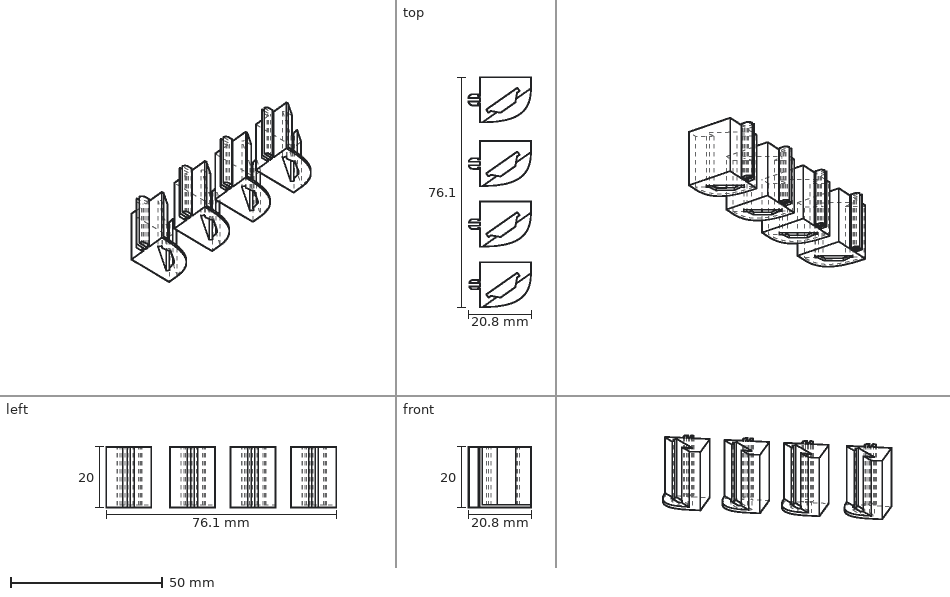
import cadquery as cq
import math

block_width = 16.9
block_depth = 15.0
block_height = 20.0
plate_thickness = 1.0

slant_angle = 35.0
slant_start_x = 0.75
slant_rise = (block_width - slant_start_x) * math.tan(math.radians(slant_angle))

front_handle = 12.3
side_handle = 7.3

pocket_x = 7.2
pocket_y = 7.8
slot_half_length = 6.2
slot_depth = 1.2
opening_half_length = 5.25
opening_taper_angle = 45.0
pocket_depth = 3.5

clip_center_y = block_depth / 2
clip_gap = 1.1
neck_width = 2.6
neck_length = 0.6
round_start = 2.3
largest_clip_reach = 3.9
largest_head_half_width = 1.9
clip_size_step = 0.11

spacing = 20.0
first_spacing = 21.05
block_positions = [2 * spacing + first_spacing, 2 * spacing, spacing, 0]


def make_wedge():
    """Tall part of the block, cut off by the slanted face."""
    return (
        cq.Workplane("XY")
        .moveTo(0, 0)
        .lineTo(slant_start_x, 0)
        .lineTo(block_width, slant_rise)
        .lineTo(block_width, block_depth)
        .lineTo(0, block_depth)
        .close()
        .extrude(block_height)
    )


def make_base_plate():
    """Thin plate that bulges out in front of the slanted face."""
    return (
        cq.Workplane("XY")
        .moveTo(slant_start_x, 0)
        .bezier(
            [
                (slant_start_x, 0),
                (slant_start_x + front_handle, 0),
                (block_width, slant_rise - side_handle),
                (block_width, slant_rise),
            ]
        )
        .close()
        .extrude(plate_thickness)
    )


def make_pocket():
    """Cutter for the slot and its opening, symmetric about the normal of the slanted face."""
    taper = (pocket_depth - slot_depth) * math.tan(math.radians(opening_taper_angle))
    floor_half_length = opening_half_length - taper
    half_outline = [
        (slot_half_length, 0),
        (slot_half_length, -slot_depth),
        (opening_half_length, -slot_depth),
        (floor_half_length, -pocket_depth),
    ]
    mirrored_half = [(-x, y) for x, y in reversed(half_outline)]
    return (
        cq.Workplane("XY")
        .polyline(half_outline + mirrored_half)
        .close()
        .extrude(block_height)
        .rotate((0, 0, 0), (0, 0, 1), slant_angle)
        .translate((pocket_x, pocket_y, 0))
    )


def make_clip(size_index):
    """Two mirrored prongs with rounded heads; each size step makes the heads smaller."""
    reduction = size_index * clip_size_step
    reach = largest_clip_reach - reduction
    head = largest_head_half_width - reduction
    gap = clip_gap / 2
    neck = neck_width / 2

    round_length = reach - round_start
    round_width = head - gap
    radius = (round_length**2 + round_width**2) / (2 * round_width)
    half_sweep = math.asin(round_length / radius) / 2
    round_middle = (
        -round_start - radius * math.sin(half_sweep),
        head - radius * (1 - math.cos(half_sweep)),
    )
    prong = (
        cq.Workplane("XY")
        .moveTo(0, gap)
        .lineTo(0, neck)
        .lineTo(-neck_length, neck)
        .lineTo(-neck_length, head)
        .lineTo(-round_start, head)
        .threePointArc(round_middle, (-reach, gap))
        .close()
        .extrude(block_height)
    )
    return prong.union(prong.mirror("XZ")).translate((0, clip_center_y, 0))


def make_block(size_index):
    body = make_wedge().union(make_base_plate()).cut(make_pocket())
    return body.union(make_clip(size_index))


blocks = [
    make_block(size_index).translate((0, position, 0))
    for size_index, position in enumerate(block_positions)
]

result = cq.Compound.makeCompound([block.solids().val() for block in blocks])